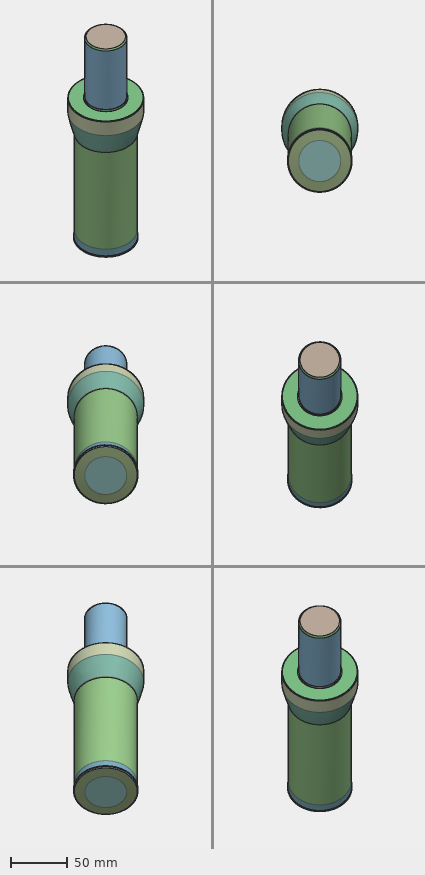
import cadquery as cq

total_height = 231.1

collar_radius = 34.0
collar_top = 161.3
collar_bottom = 145.2
collar_chamfer = 0.7
tube_radius = 28.2
shoulder_bottom = 121.1
shoulder_mid_bulge = 0.5
shoulder_step = 0.2
step_height = 0.7
flare_start = 10.6
flare_radius = 28.5
foot_radius = 29.0
foot_top = 3.2
foot_band = 1.2
foot_chamfer = 1.0
base_radius = 18.7

rod_radius = 19.0
rod_top_chamfer = 1.5
neck_radius = 18.5
neck_top = 162.3
neck_chamfer_height = 0.7
recess_depth = 7.0
recess_floor = collar_top - recess_depth
countersink_radius = 19.9


def revolve_profile(profile):
    """Turn a closed radius-height outline about the Z axis."""
    return profile.close().revolve(360, (0, 0, 0), (0, 1, 0))


def make_housing():
    """Collared tube with a curved shoulder, a flared foot and a blind recess for the rod."""
    step_radius = tube_radius + shoulder_step
    step_top = shoulder_bottom + step_height
    shoulder_mid_radius = (collar_radius + step_radius) / 2 + shoulder_mid_bulge
    shoulder_mid_height = (collar_bottom + step_top) / 2
    countersink_depth = countersink_radius - neck_radius
    profile = (
        cq.Workplane("XZ")
        .lineTo(base_radius, 0)
        .lineTo(foot_radius - foot_chamfer, foot_top - foot_band - foot_chamfer)
        .lineTo(foot_radius, foot_top - foot_band)
        .lineTo(foot_radius, foot_top)
        .lineTo(flare_radius, foot_top)
        .lineTo(tube_radius, flare_start)
        .lineTo(tube_radius, shoulder_bottom)
        .lineTo(step_radius, step_top)
        .threePointArc((shoulder_mid_radius, shoulder_mid_height), (collar_radius, collar_bottom))
        .lineTo(collar_radius, collar_top - collar_chamfer)
        .lineTo(collar_radius - collar_chamfer, collar_top)
        .lineTo(countersink_radius, collar_top)
        .lineTo(neck_radius, collar_top - countersink_depth)
        .lineTo(neck_radius, recess_floor)
        .lineTo(0, recess_floor)
    )
    return revolve_profile(profile)


def make_rod():
    """Round rod with a chamfered top and a thinner neck that fills the recess."""
    profile = (
        cq.Workplane("XZ")
        .moveTo(0, recess_floor)
        .lineTo(neck_radius, recess_floor)
        .lineTo(neck_radius, neck_top)
        .lineTo(rod_radius, neck_top + neck_chamfer_height)
        .lineTo(rod_radius, total_height - rod_top_chamfer)
        .lineTo(rod_radius - rod_top_chamfer, total_height)
        .lineTo(0, total_height)
    )
    return revolve_profile(profile)


housing = make_housing()
rod = make_rod()

result = cq.Compound.makeCompound([housing.val(), rod.val()])